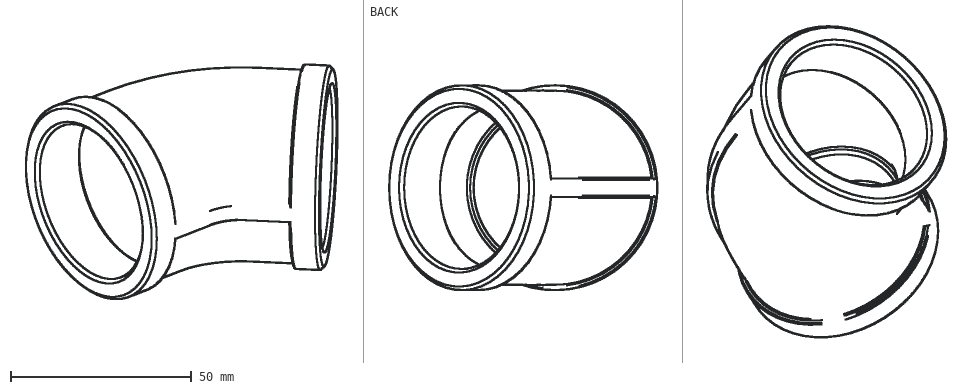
import cadquery as cq
import math

bend_angle = 45.0
bend_radius = 41.8
leg_length = 20.15

body_radius = 26.8
collar_radius = 28.3
collar_length = 8.0
collar_chamfer = 1.0
rib_width = 5.0
step_fillet = 0.3

socket_diameter = 44.9
socket_radius = socket_diameter / 2
socket_length = 16.0
socket_chamfer = 1.0
bend_bore_diameter = 48.7

bend_cos = math.cos(math.radians(bend_angle))
bend_sin = math.sin(math.radians(bend_angle))
inlet_frame = cq.Plane(origin=(0, 0, 0), xDir=(1, 0, 0), normal=(0, 1, 0))
outlet_frame = cq.Plane(
    origin=(
        bend_radius * (1 - bend_cos) + leg_length * bend_sin,
        leg_length + bend_radius * bend_sin + leg_length * bend_cos,
        0,
    ),
    xDir=(bend_cos, -bend_sin, 0),
    normal=(-bend_sin, -bend_cos, 0),
)
end_frames = (inlet_frame, outlet_frame)


def elbow_rod(radius, end_gap=0.0):
    """Solid round rod along both legs and the bend, stopping end_gap short of the end faces."""
    bend = cq.Workplane("XZ", origin=(0, leg_length, 0)).circle(radius)
    rod = bend.revolve(bend_angle, (bend_radius, 0, 0), (bend_radius, -1, 0))
    for frame in end_frames:
        leg = cq.Workplane(frame).workplane(offset=end_gap).circle(radius)
        rod = rod.union(leg.extrude(leg_length - end_gap))
    return rod


def is_step_edge(edge):
    """True for the crest and root edges along the rib sides and the inner collar faces."""
    tolerance = 0.01
    points = [edge.positionAt(t) for t in (0.1, 0.5, 0.9)]
    on_rib_side = all(abs(abs(p.z) - rib_width / 2) < tolerance for p in points)
    on_collar_face = any(
        all(abs(frame.toLocalCoords(p).z - collar_length) < tolerance for p in points)
        for frame in end_frames
    )
    return on_rib_side != on_collar_face


def make_outside():
    """Thick elbow, relieved between the collars everywhere but at the two ribs."""
    clearance = 0.8
    slab_size = 4 * outlet_frame.origin.y
    rib_slab = cq.Workplane("XY").box(slab_size, slab_size, rib_width)
    relief = elbow_rod(collar_radius + clearance, collar_length)
    relief = relief.cut(elbow_rod(body_radius, collar_length)).cut(rib_slab)
    outside = elbow_rod(collar_radius).cut(relief)

    step_edges = [edge for edge in outside.edges().vals() if is_step_edge(edge)]
    outside = outside.newObject(step_edges).fillet(step_fillet)
    for frame in end_frames:
        end_face = cq.selectors.NearestToPointSelector(frame.origin.toTuple())
        outside = outside.faces(end_face).chamfer(collar_chamfer)
    return outside


def make_socket(frame):
    """Bore of one socket, flared by a 45 degree chamfer at its mouth and at its inner end."""
    flared_radius = socket_radius + socket_chamfer
    axial_plane = cq.Plane(
        origin=frame.origin, xDir=frame.xDir, normal=frame.xDir.cross(frame.zDir)
    )
    return (
        cq.Workplane(axial_plane)
        .polyline([
            (0, 0),
            (flared_radius, 0),
            (socket_radius, socket_chamfer),
            (socket_radius, socket_length - socket_chamfer),
            (flared_radius, socket_length),
            (0, socket_length),
        ])
        .close()
        .revolve(360, (0, 0, 0), (0, 1, 0))
    )


def make_inside():
    """Sockets in both legs, joined by a wider bore around the bend."""
    inside = elbow_rod(bend_bore_diameter / 2, socket_length)
    for frame in end_frames:
        inside = inside.union(make_socket(frame))
    return inside


result = make_outside().cut(make_inside())